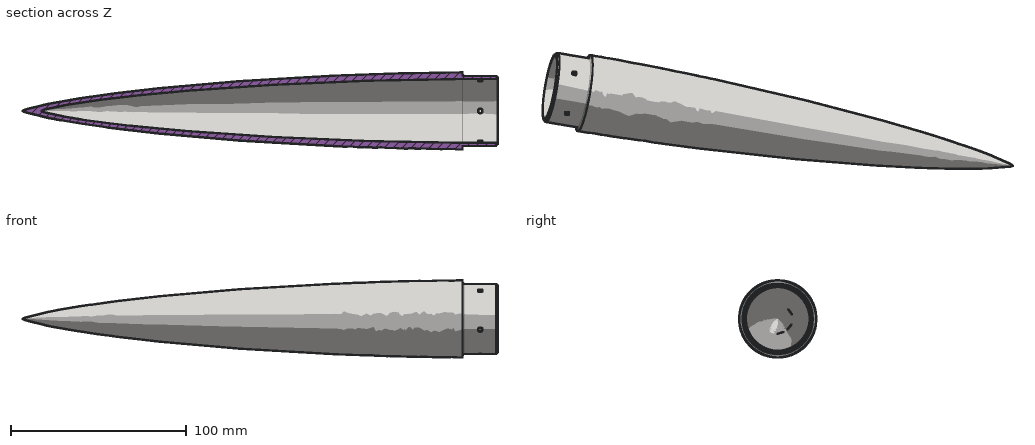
import cadquery as cq
import math

total_length = 270.0
shoulder_length = 20.0
nose_length = total_length - shoulder_length
nose_radius = 44.0 / 2
shoulder_radius = 40.0 / 2
wall = 2.0
tip_thickness = 10.8
rear_chamfer = 1.0
base_fillet = 0.8
screw_hole_diameter = 2.5
screw_hole_count = 5
haack_constant = 1 / 3
curve_segments = 24

bore_radius = shoulder_radius - wall


def haack_points(tip_x, base_radius):
    """Points of a Haack curve from its tip on the axis to the nose base."""
    length = nose_length - tip_x
    points = []
    for step in range(curve_segments + 1):
        angle = math.pi * step / curve_segments
        x = tip_x + length * (1 - math.cos(angle)) / 2
        area = angle - math.sin(2 * angle) / 2 + haack_constant * math.sin(angle) ** 3
        points.append((x, base_radius * math.sqrt(area / math.pi)))
    return points


def revolve_about_x(profile):
    return profile.close().revolve(360, (0, 0, 0), (1, 0, 0))


def outer_body():
    """Nose cone with a stepped-down shoulder, filleted at its base and chamfered at its rear edge."""
    profile = (
        cq.Workplane("XY")
        .spline(haack_points(0, nose_radius), includeCurrent=False)
        .lineTo(nose_length, shoulder_radius + base_fillet)
        .radiusArc((nose_length + base_fillet, shoulder_radius), -base_fillet)
        .lineTo(total_length - rear_chamfer, shoulder_radius)
        .lineTo(total_length, shoulder_radius - rear_chamfer)
        .lineTo(total_length, 0)
    )
    return revolve_about_x(profile)


def cavity():
    """Hollow that follows the nose and opens through the shoulder."""
    profile = (
        cq.Workplane("XY")
        .spline(haack_points(tip_thickness, bore_radius), includeCurrent=False)
        .lineTo(total_length, bore_radius)
        .lineTo(total_length, 0)
    )
    return revolve_about_x(profile)


def screw_holes():
    """Evenly spaced radial holes midway along the shoulder, one facing -Z."""
    hole_x = nose_length + shoulder_length / 2
    first_hole = (
        cq.Workplane("XY")
        .center(hole_x, 0)
        .circle(screw_hole_diameter / 2)
        .extrude(-nose_radius)
    )
    holes = cq.Workplane("XY")
    for index in range(screw_hole_count):
        turn = 360 * index / screw_hole_count
        holes = holes.add(first_hole.rotate((0, 0, 0), (1, 0, 0), turn))
    return holes.combine()


result = outer_body().cut(cavity()).cut(screw_holes())